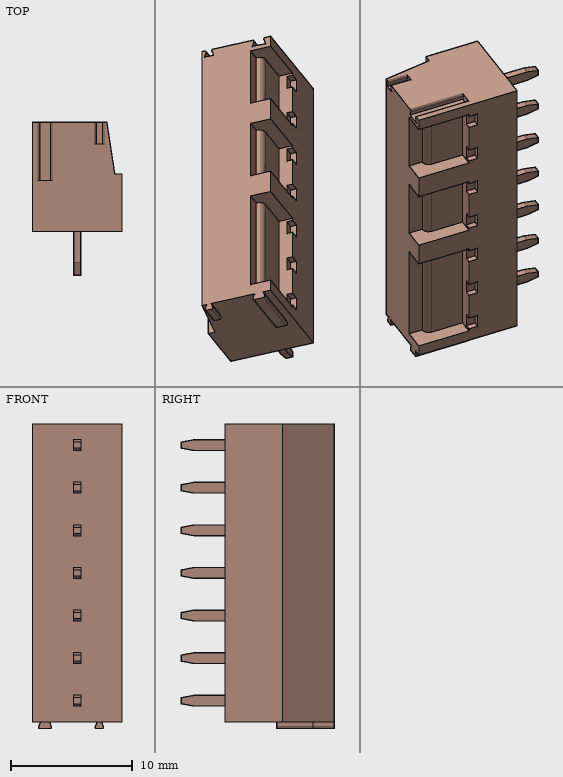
import cadquery as cq


pole_count = 7
body_width = 7.4
body_depth = 9.0
body_height = 24.5
pitch = body_height / pole_count

step_depth = 4.25
step_ledge = 0.6
slope_run = 0.65

pin_length = 3.6
pin_width = 0.6
pin_height = 0.9
pin_taper_length = 1.05
pin_tip_height = 0.5

pocket_groups = [(0, 3), (3, 2), (5, 2)]
pocket_margin = 0.98
pocket_length = 4.58
pocket_deep = 1.8
pocket_shallow = 1.2
pocket_deep_length = 1.2
pocket_step_radius = 0.55

notch_length = 0.8
notch_height = 1.13
notch_depth = 0.5

large_center = 1.05
small_center = 5.5
large_rail_width = 1.18
small_rail_width = 0.8
large_rail_length = 4.75
small_rail_length = 1.75
rail_height = 0.55
rail_flare = 0.2
rail_edge_radius = 0.13
groove_depth = 0.6
groove_length_clearance = 0.05


def pole_z(index):
    """Height of the centre of one pole."""
    return (index + 0.5) * pitch


def make_box(x_min, x_max, y_min, y_max, z_min, z_max):
    box = cq.Workplane("XY").box(x_max - x_min, y_max - y_min, z_max - z_min, centered=False)
    return box.translate((x_min, y_min, z_min))


def make_body():
    ledge_x = body_width - step_ledge
    ledge_y = body_depth - step_depth
    outline = [
        (0, 0),
        (body_width, 0),
        (body_width, ledge_y),
        (ledge_x, ledge_y),
        (ledge_x - slope_run, body_depth),
        (0, body_depth),
    ]
    return cq.Workplane("XY").polyline(outline).close().extrude(body_height)


def make_pin(z):
    """Flat pin whose top and bottom faces taper towards the free end."""
    half_height = pin_height / 2
    half_tip = pin_tip_height / 2
    taper_y = pin_taper_length - pin_length
    outline = [
        (0, -half_height),
        (taper_y, -half_height),
        (-pin_length, -half_tip),
        (-pin_length, half_tip),
        (taper_y, half_height),
        (0, half_height),
    ]
    pin = cq.Workplane("YZ").polyline(outline).close().extrude(pin_width)
    return pin.translate(((body_width - pin_width) / 2, 0, z))


def make_pocket(first_pole, poles):
    """Side pocket, deeper at the mating end, with a rounded step between its two floors."""
    step_y = body_depth - pocket_deep_length
    pocket = (
        cq.Workplane("XY")
        .moveTo(0, body_depth)
        .lineTo(pocket_deep, body_depth)
        .lineTo(pocket_deep, step_y)
        .lineTo(pocket_shallow + pocket_step_radius, step_y)
        .radiusArc((pocket_shallow, step_y - pocket_step_radius), -pocket_step_radius)
        .lineTo(pocket_shallow, body_depth - pocket_length)
        .lineTo(0, body_depth - pocket_length)
        .close()
        .extrude(poles * pitch - 2 * pocket_margin)
    )
    return pocket.translate((0, 0, first_pole * pitch + pocket_margin))


def make_notch(z):
    y_max = body_depth - pocket_length
    half_height = notch_height / 2
    return make_box(0, notch_depth, y_max - notch_length, y_max, z - half_height, z + half_height)


def make_dovetail(center_x, neck_width, wide_width, height, length):
    """Dovetail bar hanging down from Z = 0, widest at its lower face, ending at the mating side."""
    outline = [
        (center_x - neck_width / 2, 0),
        (center_x + neck_width / 2, 0),
        (center_x + wide_width / 2, -height),
        (center_x - wide_width / 2, -height),
    ]
    bar = cq.Workplane("XZ").polyline(outline).close().extrude(length)
    return bar.translate((0, body_depth, 0))


def make_rail(center_x, width, length):
    rail = make_dovetail(center_x, width - 2 * rail_flare, width, rail_height, length)
    return rail.faces("<Z").edges("|Y").fillet(rail_edge_radius)


def cut_groove(body, center_x, rail_width, rail_length):
    """Cut an undercut groove into the top face and round its two long mouth edges."""
    neck_width = rail_width - 2 * rail_flare
    length = rail_length + groove_length_clearance
    groove = make_dovetail(center_x, neck_width, rail_width, groove_depth, length)
    body = body.cut(groove.translate((0, 0, body_height)))
    mouth_y = body_depth - length / 2
    for side in (-1, 1):
        mouth_point = (center_x + side * neck_width / 2, mouth_y, body_height)
        body = body.edges(cq.selectors.NearestToPointSelector(mouth_point)).fillet(rail_edge_radius)
    return body


result = make_body()

dovetails = [
    (large_center, large_rail_width, large_rail_length),
    (small_center, small_rail_width, small_rail_length),
]
for center_x, width, length in dovetails:
    result = cut_groove(result, center_x, width, length)
    result = result.union(make_rail(center_x, width, length))

for first_pole, poles in pocket_groups:
    result = result.cut(make_pocket(first_pole, poles))

for index in range(pole_count):
    result = result.cut(make_notch(pole_z(index)))
    result = result.union(make_pin(pole_z(index)))